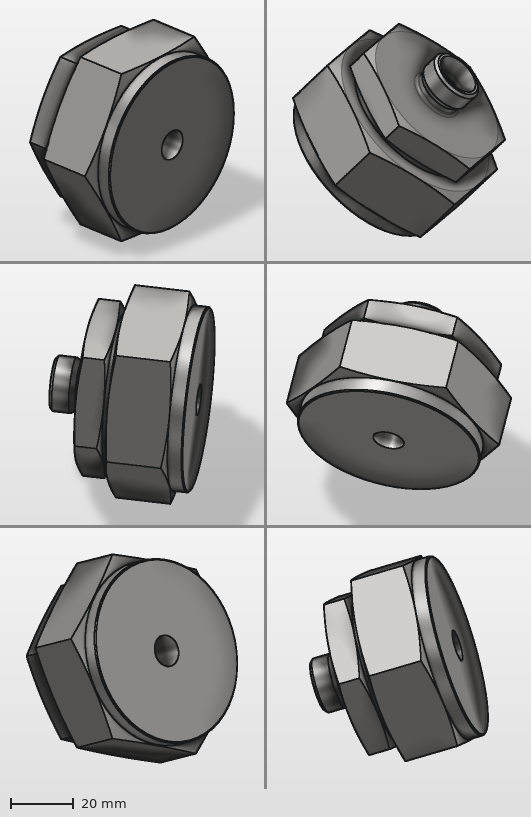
import cadquery as cq
import math


nose_length = 6.45
neck_end = 11.0
small_hex_width = 9.0
collar_width = 2.0
large_hex_width = 20.0
total_length = 46.9

small_hex_start = neck_end
small_hex_end = small_hex_start + small_hex_width
large_hex_start = small_hex_end + collar_width
large_hex_end = large_hex_start + large_hex_width

small_hex_flats = 50.0
large_hex_flats = 60.0
hex_chamfer_angle = 15.0
hex_sides = 6
hex_envelope_margin = 1.0

nose_diameter = 18.0
neck_diameter = 15.9
collar_diameter = 49.0
end_ring_diameter = 59.5

nose_chamfer = 0.95
neck_relief_angle = 30.0
neck_fillet_radius = 1.0
end_ring_chamfer = 0.4

bore_diameter = 10.0
socket_diameter = 12.0
cone_mouth_diameter = 14.2
cone_half_angle = 12.0
socket_depth = 7.0


def slope_length(rise, angle):
    """Axial length of a slope that rises radially at an angle to the axis."""
    return rise / math.tan(math.radians(angle))


def revolve_about_x(profile):
    """Turn a closed XY profile one full revolution about the X axis."""
    return profile.revolve(360, (0, 0, 0), (1, 0, 0))


def disc(start, end, diameter):
    """Cylinder along X between two axial positions."""
    return cq.Workplane("YZ").workplane(offset=start).circle(diameter / 2).extrude(end - start)


def chamfered_hex(start, end, flats):
    """Hexagonal body along X whose corners are turned down conically at both ends."""
    corner_diameter = flats / math.cos(math.pi / hex_sides)
    prism = cq.Workplane("YZ").workplane(offset=start).polygon(hex_sides, corner_diameter).extrude(end - start)

    flat_radius = flats / 2
    envelope_radius = corner_diameter / 2 + hex_envelope_margin
    chamfer_length = (envelope_radius - flat_radius) * math.tan(math.radians(hex_chamfer_angle))
    envelope = revolve_about_x(
        cq.Workplane("XY")
        .moveTo(start, 0)
        .lineTo(start, flat_radius)
        .lineTo(start + chamfer_length, envelope_radius)
        .lineTo(end - chamfer_length, envelope_radius)
        .lineTo(end, flat_radius)
        .lineTo(end, 0)
        .close()
    )
    return prism.intersect(envelope)


def nose_and_neck():
    """Chamfered nose, sloping into a neck that meets the small hexagon in a fillet."""
    nose_radius = nose_diameter / 2
    neck_radius = neck_diameter / 2
    neck_start = nose_length + slope_length(nose_radius - neck_radius, neck_relief_angle)
    fillet_start = neck_end - neck_fillet_radius
    fillet_mid_angle = math.pi / 4
    fillet_mid_x = fillet_start + neck_fillet_radius * math.sin(fillet_mid_angle)
    fillet_mid_y = neck_radius + neck_fillet_radius * (1 - math.cos(fillet_mid_angle))
    return revolve_about_x(
        cq.Workplane("XY")
        .moveTo(0, 0)
        .lineTo(0, nose_radius - nose_chamfer)
        .lineTo(nose_chamfer, nose_radius)
        .lineTo(nose_length, nose_radius)
        .lineTo(neck_start, neck_radius)
        .lineTo(fillet_start, neck_radius)
        .threePointArc((fillet_mid_x, fillet_mid_y), (neck_end, neck_radius + neck_fillet_radius))
        .lineTo(neck_end, 0)
        .close()
    )


def end_ring():
    """Round ring behind the large hexagon, with its outer edge broken."""
    ring = disc(large_hex_end, total_length, end_ring_diameter)
    return ring.faces(">X").edges().chamfer(end_ring_chamfer)


def stepped_bore():
    """Cone, tube socket and through hole, as one solid to cut away."""
    mouth_radius = cone_mouth_diameter / 2
    socket_radius = socket_diameter / 2
    bore_radius = bore_diameter / 2
    cone_depth = slope_length(mouth_radius - socket_radius, cone_half_angle)
    return revolve_about_x(
        cq.Workplane("XY")
        .moveTo(0, 0)
        .lineTo(0, mouth_radius)
        .lineTo(cone_depth, socket_radius)
        .lineTo(socket_depth, socket_radius)
        .lineTo(socket_depth, bore_radius)
        .lineTo(total_length, bore_radius)
        .lineTo(total_length, 0)
        .close()
    )


body = (
    nose_and_neck()
    .union(chamfered_hex(small_hex_start, small_hex_end, small_hex_flats))
    .union(disc(small_hex_end, large_hex_start, collar_diameter))
    .union(chamfered_hex(large_hex_start, large_hex_end, large_hex_flats))
    .union(end_ring())
)
result = body.cut(stepped_bore())